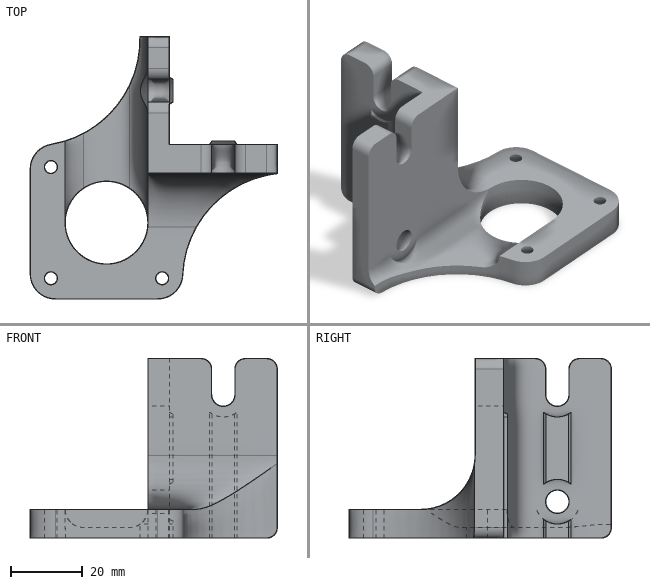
import cadquery as cq
import math

length_x = 68.8
length_y = 73.0
height = 50.0

plate_width = 42.5
plate_length = 43.15
plate_thickness = 8.0
plate_corner_radius = 7.0
plate_center = plate_width / 2
bore_diameter = 23.0
screw_diameter = 3.5
screw_spacing = 30.95

flare_radius = 29.5
left_flare_center_x = 1.0
right_flare_center_y = 5.55

y_wall_thickness = 6.0
x_wall_thickness = 7.95
y_wall_outer = plate_center + bore_diameter / 2
y_wall_inner = y_wall_outer + y_wall_thickness
x_wall_outer = 35.05
x_wall_inner = x_wall_outer + x_wall_thickness
edge_radius = 3.0
wall_fillet_radius = 15.05
channel_depth = 5.05

bolt_diameter = 6.4
bolt_radius = bolt_diameter / 2
bolt_end_distance = 15.05
slot_depth = 13.3
slot_center_z = height - slot_depth + bolt_radius
hole_center_z = 10.15
clearance_radius = 6.2
y_wall_bolt = length_y - bolt_end_distance
x_wall_bolt = length_x - bolt_end_distance

key_base_width = 7.6
key_tip_width = 6.2
key_height = 1.0


def box(x_range, y_range, z_range):
    size = [high - low for low, high in (x_range, y_range, z_range)]
    corner = (x_range[0], y_range[0], z_range[0])
    return cq.Workplane("XY").box(*size, centered=False).translate(corner)


def polar(center, radius, angle):
    return (center[0] + radius * math.cos(angle), center[1] + radius * math.sin(angle))


def bracket_outline():
    """Plate outline, with each flare tangent to the neighbouring rounded corner."""
    r = plate_corner_radius
    near = r
    far_x = plate_width - r
    far_y = plate_length - r
    reach = r + flare_radius

    left_center = (left_flare_center_x, far_y + math.sqrt(reach**2 - (near - left_flare_center_x) ** 2))
    right_center = (far_x + math.sqrt(reach**2 - (near - right_flare_center_y) ** 2), right_flare_center_y)
    left_tangent_angle = math.atan2(left_center[1] - far_y, left_center[0] - near)
    right_tangent_angle = math.atan2(right_center[1] - near, right_center[0] - far_x)
    left_end_angle = math.asin((length_y - left_center[1]) / flare_radius)
    right_end_angle = math.acos((length_x - right_center[0]) / flare_radius)
    left_mid_angle = (left_tangent_angle - math.pi + left_end_angle) / 2
    right_mid_angle = (right_tangent_angle + math.pi + right_end_angle) / 2

    return (
        cq.Workplane("XY")
        .moveTo(near, 0)
        .lineTo(far_x, 0)
        .threePointArc(
            polar((far_x, near), r, (right_tangent_angle - math.pi / 2) / 2),
            polar((far_x, near), r, right_tangent_angle),
        )
        .threePointArc(
            polar(right_center, flare_radius, right_mid_angle),
            polar(right_center, flare_radius, right_end_angle),
        )
        .lineTo(length_x, x_wall_inner)
        .lineTo(y_wall_inner, x_wall_inner)
        .lineTo(y_wall_inner, length_y)
        .lineTo(*polar(left_center, flare_radius, left_end_angle))
        .threePointArc(
            polar(left_center, flare_radius, left_mid_angle),
            polar((near, far_y), r, left_tangent_angle),
        )
        .threePointArc(
            polar((near, far_y), r, (left_tangent_angle + math.pi) / 2),
            (0, far_y),
        )
        .lineTo(0, near)
        .threePointArc(polar((near, near), r, 1.25 * math.pi), (near, 0))
        .close()
    )


def walls():
    y_wall = box((y_wall_outer, y_wall_inner), (x_wall_outer, length_y), (0, height))
    x_wall = box((y_wall_outer, length_x), (x_wall_outer, x_wall_inner), (0, height))
    return y_wall.union(x_wall)


def wall_fillet():
    """Concave blend between the plate top and the X wall, trimmed by the outline."""
    r = wall_fillet_radius
    block = box(
        (y_wall_outer, length_x),
        (x_wall_outer - r, x_wall_outer),
        (plate_thickness, plate_thickness + r),
    )
    round_cut = (
        cq.Workplane("YZ", origin=(y_wall_outer, 0, 0))
        .center(x_wall_outer - r, plate_thickness + r)
        .circle(r)
        .extrude(length_x - y_wall_outer)
    )
    return block.cut(round_cut).intersect(bracket_outline().extrude(height))


def channel():
    """Recess beside the Y wall, from the bore to the end, with rounded bottom corners."""
    left = plate_center - bore_diameter / 2
    recess = box(
        (left, y_wall_outer),
        (plate_center, length_y),
        (plate_thickness - channel_depth, plate_thickness),
    )
    return recess.cut(channel_corner(left, 1)).cut(channel_corner(y_wall_outer, -1))


def channel_corner(side_x, inward):
    """Material left in a bottom corner of the channel."""
    r = channel_depth
    bottom = plate_thickness - r
    arc_mid = polar((side_x + inward * r, plate_thickness), r, -math.pi / 2 - inward * math.pi / 4)
    return (
        cq.Workplane("XZ", origin=(0, length_y, 0))
        .moveTo(side_x, plate_thickness)
        .threePointArc(arc_mid, (side_x + inward * r, bottom))
        .lineTo(side_x, bottom)
        .close()
        .extrude(length_y - plate_center)
    )


def key(workplane, center):
    """Tapered key with its base on the workplane's X axis and its tip towards local +Y."""
    return (
        workplane
        .moveTo(center - key_base_width / 2, 0)
        .lineTo(center + key_base_width / 2, 0)
        .lineTo(center + key_tip_width / 2, key_height)
        .lineTo(center - key_tip_width / 2, key_height)
        .close()
        .extrude(slot_center_z)
    )


def keys():
    """Keys rising to the slots, cleared around every bolt position."""
    x_key = key(cq.Workplane("XY", origin=(0, x_wall_inner, 0)), x_wall_bolt)
    y_plane = cq.Plane(origin=(y_wall_inner, 0, 0), xDir=(0, -1, 0), normal=(0, 0, 1))
    y_key = key(cq.Workplane(y_plane), -y_wall_bolt)
    x_clearance = (
        cq.Workplane("XZ", origin=(0, x_wall_inner, 0))
        .center(x_wall_bolt, slot_center_z)
        .circle(clearance_radius)
        .extrude(-key_height)
    )
    y_clearances = (
        cq.Workplane("YZ", origin=(y_wall_inner, 0, 0))
        .pushPoints([(y_wall_bolt, slot_center_z), (y_wall_bolt, hole_center_z)])
        .circle(clearance_radius)
        .extrude(key_height)
    )
    return x_key.cut(x_clearance).union(y_key.cut(y_clearances))


def slot(workplane, center, depth):
    """Open-topped slot with a round bottom and rounded mouth edges."""
    r = edge_radius
    left = center - bolt_radius
    right = center + bolt_radius
    shoulder = height - r
    return (
        workplane
        .moveTo(left - r, height)
        .threePointArc(polar((left - r, shoulder), r, math.pi / 4), (left, shoulder))
        .lineTo(left, slot_center_z)
        .threePointArc((center, height - slot_depth), (right, slot_center_z))
        .lineTo(right, shoulder)
        .threePointArc(polar((right + r, shoulder), r, 0.75 * math.pi), (right + r, height))
        .close()
        .extrude(depth)
    )


def round_free_ends(body):
    """Round the top and bottom corners of both free wall ends."""
    full = box((0, length_x), (0, length_y), (0, height))
    for end_edges in (full.faces(">X").edges("|Y"), full.faces(">Y").edges("|X")):
        body = body.intersect(end_edges.fillet(edge_radius))
    return body


result = bracket_outline().extrude(plate_thickness)
result = result.cut(channel())
result = result.union(walls()).union(wall_fillet())
result = round_free_ends(result).union(keys())

bore = cq.Workplane("XY").center(plate_center, plate_center).circle(bore_diameter / 2).extrude(plate_thickness)
screw_low = plate_center - screw_spacing / 2
screw_high = plate_center + screw_spacing / 2
screws = (
    cq.Workplane("XY")
    .pushPoints([(screw_low, screw_low), (screw_high, screw_low), (screw_low, screw_high)])
    .circle(screw_diameter / 2)
    .extrude(plate_thickness)
)
result = result.cut(bore).cut(screws)

x_wall_plane = cq.Workplane("XZ", origin=(0, x_wall_outer, 0))
y_wall_plane = cq.Workplane("YZ", origin=(y_wall_outer, 0, 0))
result = result.cut(slot(x_wall_plane, x_wall_bolt, -x_wall_thickness))
result = result.cut(slot(y_wall_plane, y_wall_bolt, y_wall_thickness))

hole_plane = y_wall_plane.center(y_wall_bolt, hole_center_z)
result = result.cut(hole_plane.circle(bolt_radius).extrude(y_wall_thickness))
result = result.cut(hole_plane.circle(clearance_radius).extrude(-channel_depth))